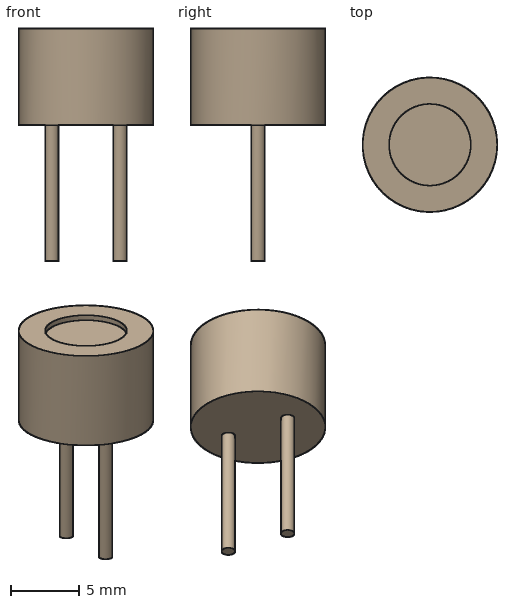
import cadquery as cq

body_diameter = 9.9
body_height = 7.1

recess_diameter = 6.0
recess_depth = 0.4

pin_diameter = 1.0
pin_length = 10.0
pin_spacing = 5.0


def make_body():
    """Plain cylinder with its base at Z = 0."""
    return cq.Workplane("XY").circle(body_diameter / 2).extrude(body_height)


def cut_recess(body):
    """Sink the round recess into the top face."""
    return body.faces(">Z").workplane().circle(recess_diameter / 2).cutBlind(-recess_depth)


def make_pins():
    """Pair of round pins hanging down from the body's base."""
    pin_centers = [(-pin_spacing / 2, 0), (pin_spacing / 2, 0)]
    return cq.Workplane("XY").pushPoints(pin_centers).circle(pin_diameter / 2).extrude(-pin_length)


result = cut_recess(make_body()).union(make_pins())